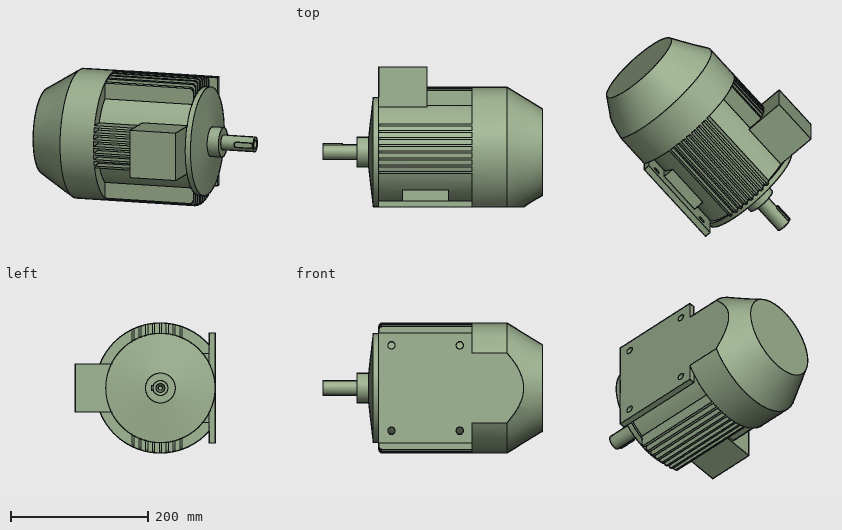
import cadquery as cq

TOTAL_LENGTH = 320.5
HUB_START = 49.5
CONE_START = 66.7
FLANGE_START = 73.5
FRAME_START = 81.5
COVER_START = 217.3
TAPER_START = 268.5

SHAFT_RADIUS = 11.0
HUB_RADIUS = 21.8
FLANGE_RADIUS = 79.8
CORE_RADIUS = 74.7
COVER_DIAMETER = 190.0
COVER_RADIUS = COVER_DIAMETER / 2
COVER_END_RADIUS = 63.0

CENTRE_MOUTH_RADIUS = 6.5
CENTRE_SEAT_RADIUS = 5.0
CENTRE_BORE_RADIUS = 3.2
CENTRE_SEAT_START = 4.8
CENTRE_BORE_START = 8.0
CENTRE_BORE_END = 19.2
CENTRE_TIP = 21.0

KEY_LENGTH = 28.5
KEY_WIDTH = 7.7
KEY_TOP = 12.8
KEY_BOTTOM = 8.0

FIN_POSITIONS = range(-3, 5)
SIDE_FIN_POSITIONS = range(-3, 4)
FIN_ROW_SPAN = 70.0
FIN_PITCH = FIN_ROW_SPAN / (len(FIN_POSITIONS) - 1)
FIN_THICKNESS = 3.0
FIN_CORNER_RADIUS = 5.8

BOX_SIDE = 70.5
BOX_TOP = 124.5

FOOT_FACE = -80.0
FOOT_THICKNESS = 9.0
FOOT_WIDTH = 161.0
HOLE_DIAMETER = 10.5
HOLE_SPACING_X = 99.7
HOLE_SPACING_Z = 124.5
HOLE_START = 100.0

PAD_START = 116.0
PAD_LENGTH = 67.3
PAD_WIDTH = 101.3


def box(x, y, z):
    """Box spanning the given (low, high) ranges."""
    size = [high - low for low, high in (x, y, z)]
    return cq.Workplane("XY").box(*size, centered=False).translate((x[0], y[0], z[0]))


def turned(profile):
    """Revolve an (axial position, radius) outline about the motor axis."""
    return cq.Workplane("XY").polyline(profile).close().revolve(360, (0, 0, 0), (1, 0, 0))


def make_front_end():
    """Shaft, hub, conical end shield and core as one turned piece."""
    return turned([
        (0, 0),
        (0, SHAFT_RADIUS),
        (HUB_START, SHAFT_RADIUS),
        (HUB_START, HUB_RADIUS),
        (CONE_START, HUB_RADIUS),
        (FLANGE_START, FLANGE_RADIUS),
        (FRAME_START, FLANGE_RADIUS),
        (FRAME_START, CORE_RADIUS),
        (COVER_START, CORE_RADIUS),
        (COVER_START, 0),
    ])


def make_cover():
    """Fan cover, tapered at the rear and cut flat at the foot face."""
    cover = turned([
        (COVER_START, 0),
        (COVER_START, COVER_RADIUS),
        (TAPER_START, COVER_RADIUS),
        (TOTAL_LENGTH, COVER_END_RADIUS),
        (TOTAL_LENGTH, 0),
    ])
    across = (-COVER_RADIUS, COVER_RADIUS)
    return cover.intersect(box((COVER_START, TOTAL_LENGTH), (FOOT_FACE, COVER_RADIUS), across))


def fin_span(position):
    """Low and high faces of the fin at a given pitch position."""
    middle = position * FIN_PITCH
    return (middle - FIN_THICKNESS / 2, middle + FIN_THICKNESS / 2)


def make_fins():
    """Fins above and below the core, and a shorter row on the +Y side."""
    corner_x = FRAME_START + FIN_CORNER_RADIUS
    corner_radius = COVER_RADIUS - FIN_CORNER_RADIUS
    envelope = (
        cq.Workplane("XY")
        .moveTo(FRAME_START, 0)
        .lineTo(FRAME_START, corner_radius)
        .radiusArc((corner_x, COVER_RADIUS), FIN_CORNER_RADIUS)
        .lineTo(COVER_START, COVER_RADIUS)
        .lineTo(COVER_START, 0)
        .close()
        .revolve(360, (0, 0, 0), (1, 0, 0))
    )
    length = (FRAME_START, COVER_START)
    blades = cq.Workplane("XY")
    for position in FIN_POSITIONS:
        blades = blades.add(box(length, fin_span(position), (-COVER_RADIUS, COVER_RADIUS)))
    for position in SIDE_FIN_POSITIONS:
        blades = blades.add(box(length, (0, COVER_RADIUS), fin_span(position)))
    return blades.combine().intersect(envelope)


def make_terminal_box():
    """Square terminal box standing on the +Y side of the core."""
    half = BOX_SIDE / 2
    return box((FRAME_START, FRAME_START + BOX_SIDE), (0, BOX_TOP), (-half, half))


def make_foot():
    """Drilled foot plate with the pad that joins it to the core."""
    half = FOOT_WIDTH / 2
    plate_top = FOOT_FACE + FOOT_THICKNESS
    plate = box((FRAME_START, COVER_START), (FOOT_FACE, plate_top), (-half, half))
    for x in (HOLE_START, HOLE_START + HOLE_SPACING_X):
        for z in (-HOLE_SPACING_Z / 2, HOLE_SPACING_Z / 2):
            drill = cq.Workplane("XZ", origin=(x, plate_top, z)).circle(HOLE_DIAMETER / 2)
            plate = plate.cut(drill.extrude(FOOT_THICKNESS))
    pad_half = PAD_WIDTH / 2
    pad = box((PAD_START, PAD_START + PAD_LENGTH), (FOOT_FACE, 0), (-pad_half, pad_half))
    return plate.union(pad)


def make_key():
    """Round-ended shaft key on the +Y side of the shaft."""
    return (
        cq.Workplane("XZ", origin=(KEY_LENGTH / 2, KEY_TOP, 0))
        .slot2D(KEY_LENGTH, KEY_WIDTH)
        .extrude(KEY_TOP - KEY_BOTTOM)
    )


def make_centre_hole():
    """Centre hole with a flared mouth, a conical seat, a bore and a pointed bottom."""
    return turned([
        (0, 0),
        (0, CENTRE_MOUTH_RADIUS),
        (CENTRE_SEAT_START, CENTRE_SEAT_RADIUS),
        (CENTRE_BORE_START, CENTRE_BORE_RADIUS),
        (CENTRE_BORE_END, CENTRE_BORE_RADIUS),
        (CENTRE_TIP, 0),
    ])


result = (
    make_front_end()
    .union(make_cover())
    .union(make_fins())
    .union(make_terminal_box())
    .union(make_foot())
    .union(make_key())
    .cut(make_centre_hole())
)